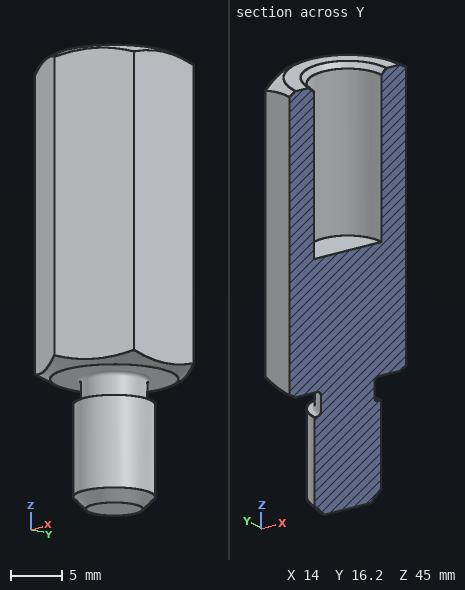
import cadquery as cq
import math

total_length = 45.0
hex_length = 32.0
stud_length = total_length - hex_length

hex_sides = 6
across_flats = 14.0
across_corners = across_flats / math.cos(math.pi / hex_sides)
end_face_diameter = 12.5
corner_chamfer_angle = math.radians(30)
envelope_clearance = 0.45

bore_diameter = 8.0
bore_depth = 18.0
bore_mouth_diameter = 9.2

stud_radius = 8.0 / 2
tip_radius = 5.6 / 2
tip_chamfer_height = 1.2
relief_radius = 6.5 / 2
relief_length = 2.5
relief_fillet = 0.4


def make_hex_body():
    """Hexagonal prism whose corners are turned conically at both ends."""
    prism = (
        cq.Workplane("XY", origin=(0, 0, stud_length))
        .polygon(hex_sides, across_corners)
        .extrude(hex_length)
        .rotate((0, 0, 0), (0, 0, 1), 180 / hex_sides)
    )
    face_radius = end_face_diameter / 2
    envelope_radius = across_corners / 2 + envelope_clearance
    cone_height = (envelope_radius - face_radius) * math.tan(corner_chamfer_angle)
    envelope = (
        cq.Workplane("XZ")
        .moveTo(0, stud_length)
        .lineTo(face_radius, stud_length)
        .lineTo(envelope_radius, stud_length + cone_height)
        .lineTo(envelope_radius, total_length - cone_height)
        .lineTo(face_radius, total_length)
        .lineTo(0, total_length)
        .close()
        .revolve(360, (0, 0), (0, 1))
    )
    return prism.intersect(envelope)


def make_stud():
    """Turned stud with a chamfered tip and a filleted relief groove."""
    groove_bottom = stud_length - relief_length
    return (
        cq.Workplane("XZ")
        .lineTo(tip_radius, 0)
        .lineTo(stud_radius, tip_chamfer_height)
        .lineTo(stud_radius, groove_bottom)
        .lineTo(relief_radius + relief_fillet, groove_bottom)
        .radiusArc((relief_radius, groove_bottom + relief_fillet), relief_fillet)
        .lineTo(relief_radius, stud_length - relief_fillet)
        .radiusArc((relief_radius + relief_fillet, stud_length), relief_fillet)
        .lineTo(0, stud_length)
        .close()
        .revolve(360, (0, 0), (0, 1))
    )


def make_bore():
    """Blind bore from the top face with a 45 degree countersunk mouth."""
    bore_radius = bore_diameter / 2
    mouth_radius = bore_mouth_diameter / 2
    countersink_depth = mouth_radius - bore_radius
    return (
        cq.Workplane("XZ")
        .moveTo(0, total_length)
        .lineTo(mouth_radius, total_length)
        .lineTo(bore_radius, total_length - countersink_depth)
        .lineTo(bore_radius, total_length - bore_depth)
        .lineTo(0, total_length - bore_depth)
        .close()
        .revolve(360, (0, 0), (0, 1))
    )


result = make_hex_body().union(make_stud()).cut(make_bore())